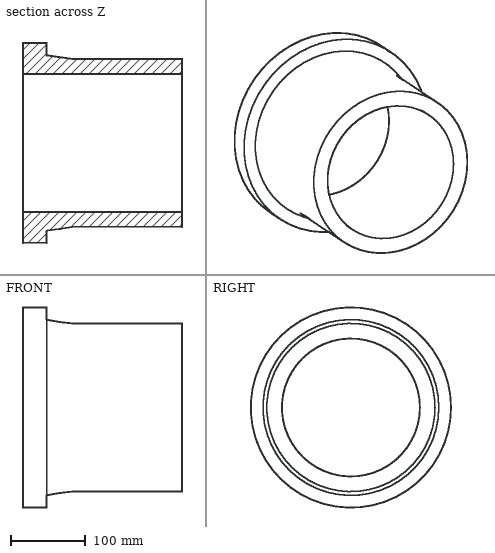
import cadquery as cq

total_length = 213.0

flange_diameter = 268.0
flange_thickness = 32.0

neck_diameter = 235.0
neck_length = 36.0

pipe_diameter = 224.9
bore_diameter = 184.0

flange_radius = flange_diameter / 2
neck_radius = neck_diameter / 2
pipe_radius = pipe_diameter / 2
bore_radius = bore_diameter / 2
neck_end = flange_thickness + neck_length

wall_section = (
    cq.Workplane("XY")
    .moveTo(0, bore_radius)
    .lineTo(0, flange_radius)
    .lineTo(flange_thickness, flange_radius)
    .lineTo(flange_thickness, neck_radius)
    .lineTo(neck_end, pipe_radius)
    .lineTo(total_length, pipe_radius)
    .lineTo(total_length, bore_radius)
    .close()
)

result = wall_section.revolve(360, (0, 0, 0), (1, 0, 0))